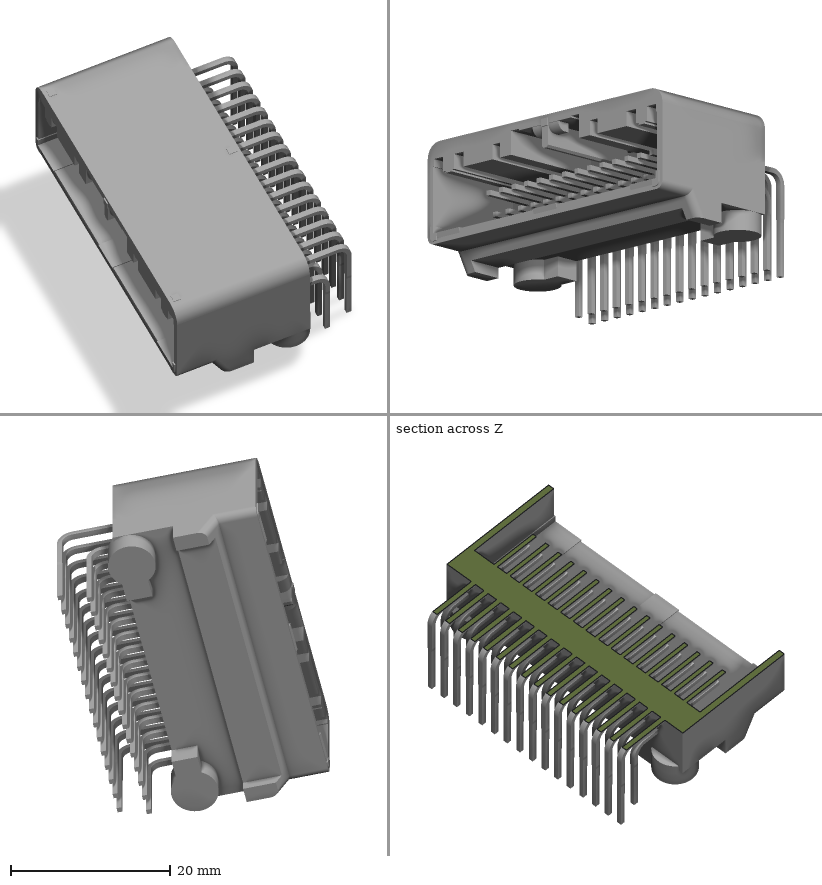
import cadquery as cq


width = 41.1
depth = 18.5
top_z = 15.82
base_z = 2.6
top_radius = 2.05
bottom_radius = 1.0
proud = 0.15
pad_size = 1.0
pad_rise = 0.1
front_pad_y = 0.55
rear_pad_y = 16.95
rear_pad_length = 1.15
half_width = width / 2

foot_width = 2.05
skirt_z = 1.35
skirt_rear_y = 10.7
skirt_front_y = 4.97
toe_y = 6.45
post_diameter = 6.0
post_x = 17.5
post_y = 16.7
post_top_z = 3.4
block_inner_x = 12.5

cavity_depth = 14.4
wall_x = 19.6
upper_wall_x = 19.5
ledge_z = 12.65
floor_z = 3.82
tab_z = 11.7
slot_roof_z = 13.65
keyway_x = 5.95
keyway_roof_z = 14.85
latch_roof_x = 4.52
latch_roof_z = 14.65

outer_tab = (15.9, 17.85)
wide_tab = (9.2, 14.25)
inner_tab = (keyway_x, 7.85)
bead_width = 1.05
bead_height = 0.25

strip_z = 3.95
strip_face_bottom_z = 3.25
middle_strip_half = 2.0
outer_strip_x = 14.95
clip_top_z = 4.95
clip_bottom_z = 2.95
clip_outer_x = 20.0
clip_inner_x = 18.9
clip_radius = 0.58
key_width = 1.03
key_tip_z = 11.55
key_tip_chamfer = 0.3
key_pad_bottom_z = 14.35
key_pad_top_z = 15.35
latch_half = 2.25
latch_diameter = 2.35
latch_front_y = 0.1
latch_length = 1.85
window_half = 2.42
window_bottom_z = 13.4

pin_count = 16
row_span = 32.95
pin_size = 0.65
shank_width = 0.8
tip_y = 7.3
bend_radius = 1.3
pin_bottom_z = -3.3
taper_top_z = 4.25
taper_bottom_z = 3.75
upper_row_z = 10.2
upper_row_rear_y = 26.35
lower_row_z = 7.2
lower_row_rear_y = 22.8
pitch = row_span / (pin_count - 1)


def box(x0, x1, y0, y1, z0, z1):
    return cq.Workplane("XY").box(x1 - x0, y1 - y0, z1 - z0, centered=False).translate((x0, y0, z0))


def extrude_back(points, y0, y1):
    """Closed XZ outline extruded along Y."""
    return cq.Workplane("XZ", origin=(0, y0, 0)).polyline(points).close().extrude(y0 - y1)


def both_sides(solid):
    return solid.union(solid.mirror("YZ"))


def housing():
    profile = [
        (0, top_z), (0, base_z), (skirt_front_y, base_z), (toe_y, 0),
        (skirt_rear_y, 0), (skirt_rear_y, base_z), (depth, base_z), (depth, top_z),
    ]
    body = cq.Workplane("YZ").polyline(profile).close().extrude(half_width, both=True)
    body = body.edges("|Y and >Z").fillet(top_radius)

    margin = 0.05
    for side in (-half_width, half_width):
        front_edge = cq.selectors.BoxSelector(
            (side - margin, margin, base_z - margin),
            (side + margin, skirt_front_y - margin, base_z + margin))
        slope_edge = cq.selectors.BoxSelector(
            (side - margin, skirt_front_y, 0), (side + margin, toe_y, base_z))
        body = body.edges(front_edge + slope_edge).fillet(bottom_radius)

    between_feet = half_width - foot_width
    return body.cut(box(-between_feet, between_feet, 0, skirt_rear_y, 0, skirt_z))


def posts():
    post = (
        cq.Workplane("XY").center(-post_x, post_y)
        .circle(post_diameter / 2).extrude(post_top_z)
    )
    block = box(-post_x, -block_inner_x, post_y - post_diameter / 4, depth, 0, base_z)
    return both_sides(post.union(block))


def cavity():
    half = [
        (0, floor_z), (wall_x, floor_z), (wall_x, ledge_z), (upper_wall_x, ledge_z),
        (upper_wall_x, slot_roof_z), (outer_tab[1], slot_roof_z), (outer_tab[1], tab_z),
        (outer_tab[0], tab_z), (outer_tab[0], slot_roof_z),
        (wide_tab[1], slot_roof_z), (wide_tab[1], tab_z),
        (wide_tab[0], tab_z), (wide_tab[0], slot_roof_z),
        (inner_tab[1], slot_roof_z), (inner_tab[1], tab_z),
        (inner_tab[0], tab_z), (inner_tab[0], keyway_roof_z),
        (latch_roof_x, keyway_roof_z), (latch_roof_x, latch_roof_z), (0, latch_roof_z),
    ]
    return both_sides(extrude_back(half, 0, cavity_depth))


def tab_beads():
    center = sum(outer_tab) / 2
    bead = box(center - bead_width / 2, center + bead_width / 2,
               0, cavity_depth, tab_z - bead_height, tab_z)
    return both_sides(bead)


def floor_strip(x0, x1):
    """Low strip along the floor whose end leans out past the mating face."""
    profile = [
        (0, strip_face_bottom_z), (-proud, strip_z),
        (cavity_depth, strip_z), (cavity_depth, strip_face_bottom_z),
    ]
    return cq.Workplane("YZ", origin=(x0, 0, 0)).polyline(profile).close().extrude(x1 - x0)


def corner_ridges():
    """L-shaped clip on the mating face with a ridge running back along the wall."""
    clip = box(upper_wall_x, clip_outer_x, -proud, 0, clip_bottom_z, clip_top_z)
    clip = clip.union(box(clip_inner_x, clip_outer_x, -proud, 0, clip_bottom_z, strip_z))
    clip = clip.edges("|Y and >X and <Z").fillet(clip_radius)
    ridge = box(upper_wall_x, clip_outer_x, 0, cavity_depth, floor_z, clip_top_z)
    return both_sides(clip.union(ridge))


def key():
    rib = box(-key_width / 2, key_width / 2, 0, cavity_depth, key_tip_z, keyway_roof_z)
    rib = rib.edges("|Y and <Z").chamfer(key_tip_chamfer)
    pad = box(-key_width / 2, key_width / 2, -proud, 0, key_pad_bottom_z, key_pad_top_z)
    return rib.union(pad)


def latch():
    """Barb under the roof with a rounded lead-in; a window in the rear wall faces it."""
    radius = latch_diameter / 2
    bottom_z = latch_roof_z - radius
    rear_y = latch_front_y + latch_length
    return (
        cq.Workplane("YZ", origin=(-latch_half, 0, 0))
        .moveTo(latch_front_y, latch_roof_z)
        .radiusArc((latch_front_y + radius, bottom_z), -radius)
        .lineTo(rear_y, bottom_z).lineTo(rear_y, latch_roof_z).close()
        .extrude(2 * latch_half)
    )


def top_pads():
    outer_x = half_width - top_radius
    pad_top_z = top_z + pad_rise
    corner = box(outer_x - pad_size, outer_x, front_pad_y, front_pad_y + pad_size, top_z, pad_top_z)
    rear = box(-pad_size / 2, pad_size / 2, rear_pad_y, rear_pad_y + rear_pad_length, top_z, pad_top_z)
    return both_sides(corner).union(rear)


def pin(x, z, rear_y):
    """Square pin bent down behind the housing; z is its axis height inside it."""
    half = pin_size / 2
    inner_y = rear_y - pin_size
    outer_radius = bend_radius + pin_size
    bar = (
        cq.Workplane("YZ", origin=(x, 0, 0))
        .moveTo(tip_y, z + half)
        .lineTo(rear_y - outer_radius, z + half)
        .radiusArc((rear_y, z + half - outer_radius), outer_radius)
        .lineTo(rear_y, pin_bottom_z).lineTo(inner_y, pin_bottom_z)
        .lineTo(inner_y, z - half - bend_radius)
        .radiusArc((inner_y - bend_radius, z - half), -bend_radius)
        .lineTo(tip_y, z - half).close()
        .extrude(shank_width / 2, both=True)
    )
    for side in (-1, 1):
        edge = x + side * half
        outside = x + side * shank_width
        tail_side = [
            (edge, pin_bottom_z), (edge, taper_bottom_z), (x + side * shank_width / 2, taper_top_z),
            (outside, taper_top_z), (outside, pin_bottom_z),
        ]
        tail_cut = extrude_back(tail_side, inner_y, rear_y)
        contact_cut = box(min(edge, outside), max(edge, outside), tip_y, cavity_depth, z - half, z + half)
        bar = bar.cut(tail_cut).cut(contact_cut)
    return bar


result = housing().cut(cavity())
window = box(-window_half, window_half, cavity_depth, depth, window_bottom_z, latch_roof_z)
result = result.cut(window)
result = result.union(posts()).union(tab_beads()).union(corner_ridges())
result = result.union(floor_strip(-middle_strip_half, middle_strip_half))
result = result.union(both_sides(floor_strip(outer_strip_x, wall_x)))
result = result.union(key()).union(latch()).union(top_pads())

for index in range(pin_count):
    row_x = index * pitch - row_span / 2
    result = result.union(pin(row_x - pitch / 4, upper_row_z, upper_row_rear_y))
    result = result.union(pin(row_x + pitch / 4, lower_row_z, lower_row_rear_y))